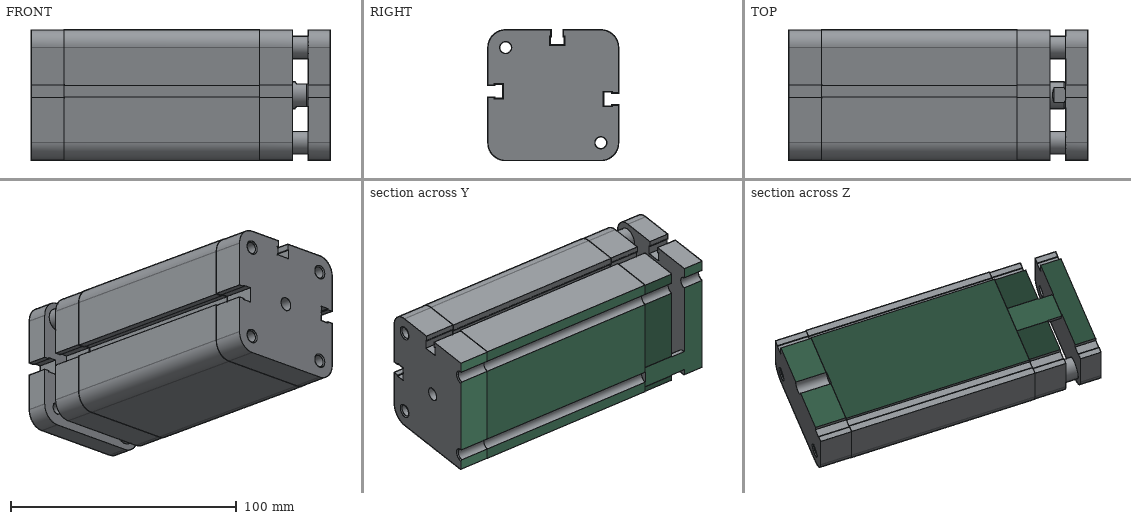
import cadquery as cq


CAP_LENGTH = 14.6
BARREL_LENGTH = 86.7
ROD_GAP = 6.9
PLATE_LENGTH = 9.8
BARREL_START = CAP_LENGTH
FRONT_CAP_START = BARREL_START + BARREL_LENGTH
FRONT_CAP_END = FRONT_CAP_START + CAP_LENGTH
PLATE_START = FRONT_CAP_END + ROD_GAP

BARREL_SIDE = 58.0
BARREL_CORNER_RADIUS = 8.0
CAP_INSET = 0.1

SLOT_OFFSET = 1.7
SLOT_MOUTH = 5.0
SLOT_WIDTH = 6.1
SLOT_DEPTH = 6.6
SLOT_LIP = 3.2
SLOT_CLEARANCE = 0.33
SLOT_TURNS = (-90, 0, 90)

CORNER_PITCH = 42.1
CORNER_HOLE_DIAMETER = 5.2
CORNER_HOLE_CHAMFER = 0.5
REAR_HOLE_DIAMETER = 6.0

GUIDE_DIAMETER = 10.1
ROD_DIAMETER = 12.0
ROD_CHAMFER = 0.7
ROD_FLATS = 10.1
FLAT_RAMP_START = 1.0
FLAT_START = 1.7

HALF_PITCH = CORNER_PITCH / 2
GUIDE_POSITIONS = [(HALF_PITCH, HALF_PITCH), (-HALF_PITCH, -HALF_PITCH)]
BOLT_POSITIONS = [(-HALF_PITCH, HALF_PITCH), (HALF_PITCH, -HALF_PITCH)]
CORNER_POSITIONS = GUIDE_POSITIONS + BOLT_POSITIONS


def section_plane(x):
    """Plane across the axis at x: local coordinates are (Y, Z), normal is +X."""
    return cq.Workplane("YZ", origin=(x, 0, 0))


def cylinders(x, length, diameter, positions):
    return section_plane(x).pushPoints(positions).circle(diameter / 2).extrude(length)


def slot_cutter(x, length, clearance):
    """T-slot open at the +Z face."""
    face = BARREL_SIDE / 2
    floor = face - SLOT_DEPTH - clearance
    lip = face - SLOT_LIP + clearance
    mouth = SLOT_MOUTH / 2 + clearance
    width = SLOT_WIDTH / 2 + clearance
    return (
        section_plane(x)
        .polyline([
            (SLOT_OFFSET - mouth, face),
            (SLOT_OFFSET - mouth, lip),
            (SLOT_OFFSET - width, lip),
            (SLOT_OFFSET - width, floor),
            (SLOT_OFFSET + width, floor),
            (SLOT_OFFSET + width, lip),
            (SLOT_OFFSET + mouth, lip),
            (SLOT_OFFSET + mouth, face),
        ])
        .close()
        .extrude(length)
    )


def slotted_block(x, length, inset, clearance):
    """Rounded square block with T-slots in its +Z, +Y and -Y faces."""
    side = BARREL_SIDE - 2 * inset
    block = section_plane(x).rect(side, side).extrude(length)
    block = block.edges("|X").fillet(BARREL_CORNER_RADIUS - inset)
    cutter = slot_cutter(x, length, clearance)
    for turn in SLOT_TURNS:
        block = block.cut(cutter.rotate((0, 0, 0), (1, 0, 0), turn))
    return block


def make_rear_cap():
    cap = slotted_block(0, CAP_LENGTH, CAP_INSET, SLOT_CLEARANCE)
    mouth_diameter = CORNER_HOLE_DIAMETER + 2 * CORNER_HOLE_CHAMFER
    cap = cap.cut(cylinders(0, CAP_LENGTH, CORNER_HOLE_DIAMETER, CORNER_POSITIONS))
    for y, z in CORNER_POSITIONS:
        mouth = cq.Solid.makeCone(
            mouth_diameter / 2,
            CORNER_HOLE_DIAMETER / 2,
            CORNER_HOLE_CHAMFER,
            pnt=cq.Vector(0, y, z),
            dir=cq.Vector(1, 0, 0),
        )
        cap = cap.cut(cq.Workplane(mouth))
    return cap.cut(cylinders(0, CAP_LENGTH, REAR_HOLE_DIAMETER, [(0, 0)]))


def make_barrel():
    barrel = slotted_block(BARREL_START, BARREL_LENGTH, 0, 0)
    return barrel.cut(cylinders(BARREL_START, BARREL_LENGTH, CORNER_HOLE_DIAMETER, CORNER_POSITIONS))


def make_front_cap():
    cap = slotted_block(FRONT_CAP_START, CAP_LENGTH, CAP_INSET, SLOT_CLEARANCE)
    cap = cap.cut(cylinders(FRONT_CAP_START, CAP_LENGTH, CORNER_HOLE_DIAMETER, BOLT_POSITIONS))
    cap = cap.cut(cylinders(FRONT_CAP_START, CAP_LENGTH, GUIDE_DIAMETER, GUIDE_POSITIONS))
    return cap.cut(cylinders(FRONT_CAP_START, CAP_LENGTH, ROD_DIAMETER, [(0, 0)]))


def make_piston_rod():
    rod = cylinders(FRONT_CAP_START, CAP_LENGTH + ROD_GAP, ROD_DIAMETER, [(0, 0)])
    rod = rod.faces(">X").chamfer(ROD_CHAMFER)
    ramp_x = FRONT_CAP_END + FLAT_RAMP_START
    flat_x = FRONT_CAP_END + FLAT_START
    flat_cutter = (
        cq.Workplane("XZ")
        .polyline([
            (ramp_x, ROD_DIAMETER / 2),
            (flat_x, ROD_FLATS / 2),
            (PLATE_START, ROD_FLATS / 2),
            (PLATE_START, ROD_DIAMETER / 2),
        ])
        .close()
        .extrude(ROD_DIAMETER / 2, both=True)
    )
    return rod.cut(flat_cutter).cut(flat_cutter.mirror("XY"))


def make_yoke():
    """Yoke plate in one piece with its two guide rods."""
    plate = slotted_block(PLATE_START, PLATE_LENGTH, CAP_INSET, SLOT_CLEARANCE)
    plate = plate.cut(cylinders(PLATE_START, PLATE_LENGTH, CORNER_HOLE_DIAMETER, BOLT_POSITIONS))
    guides = cylinders(FRONT_CAP_START, CAP_LENGTH + ROD_GAP, GUIDE_DIAMETER, GUIDE_POSITIONS)
    return plate.union(guides)


rear_cap = make_rear_cap()
barrel = make_barrel()
front_cap = make_front_cap()
piston_rod = make_piston_rod()
yoke = make_yoke()

result = cq.Compound.makeCompound([
    rear_cap.val(),
    barrel.val(),
    front_cap.val(),
    piston_rod.val(),
    yoke.val(),
])